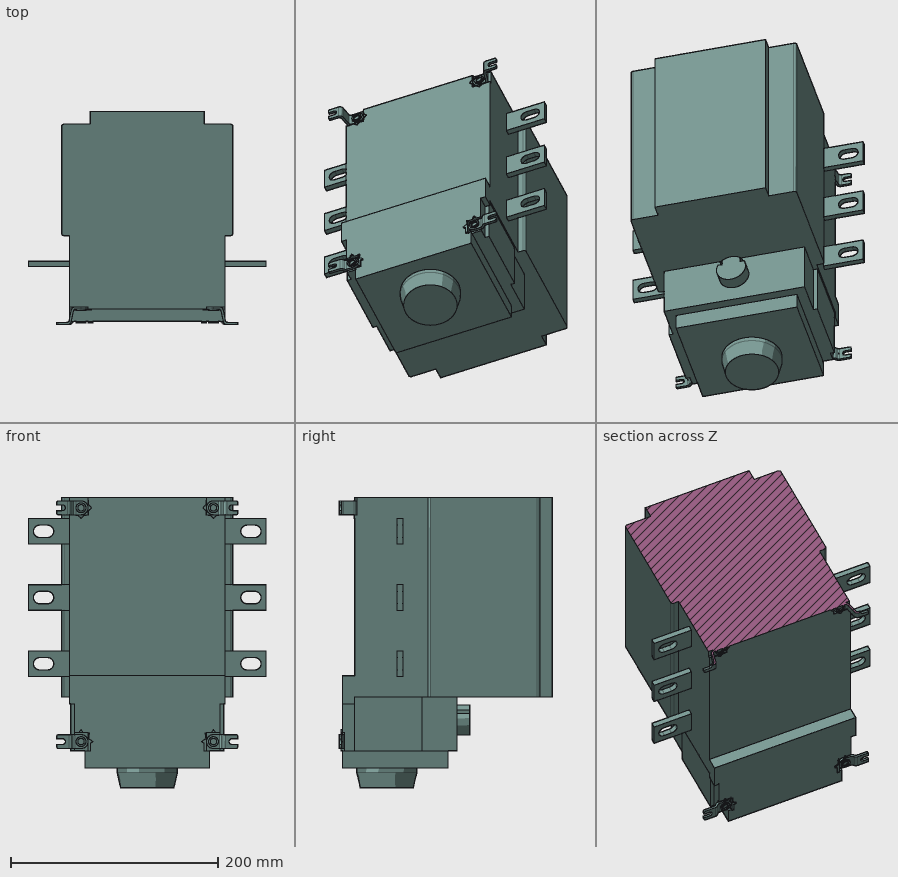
import cadquery as cq
import math

TOTAL_HEIGHT = 280.2
TOTAL_DEPTH = 205.7
HOUSING_BOTTOM = 87.5
NARROW_HALF_WIDTH = 75.0
WIDE_HALF_WIDTH = 82.7
RIDGE_HALF_WIDTH = 55.2
HOUSING_FRONT = 14.9
WIDE_FRONT = 85.7
WIDE_BACK = 193.5
WIDE_CORNER_RADIUS = 2.5

COVER_FRONT = 3.0
COVER_TOP = 108.2
COVER_STEP = 81.0
COVER_HALF_WIDTH = 70.0
BOX_BOTTOM = 35.5
BOX_HALF_WIDTH = 74.0
BOX_STEP = 79.9
BOX_BACK = 113.8
BOX_BACK_INSET = 4.0
BASE_BOTTOM = 19.0
BASE_HALF_WIDTH = 60.2
BASE_BACK = 105.0

KNOB_Y = 46.0
KNOB_RADIUS = 29.1
KNOB_TIP_RADIUS = 25.8
KNOB_RIM_BOTTOM = 14.5

SHAFT_Z = 65.3
SHAFT_RADIUS = 14.5
SHAFT_BACK = 126.0
GROOVE_Z = 73.5
GROOVE_WIDTH = 3.0
GROOVE_CORE_HALF_WIDTH = 9.0

TERMINAL_SPAN = 229.5
TERMINAL_FRONT = 56.0
TERMINAL_THICKNESS = 5.3
TERMINAL_HEIGHT = 25.0
TERMINAL_TOP_Z = 247.5
TERMINAL_PITCH = 64.0
TERMINAL_COUNT = 3
TERMINAL_SLOT_X = 100.0
TERMINAL_SLOT_LENGTH = 19.3
TERMINAL_SLOT_WIDTH = 11.8

BRACKET_TOP_Z = 270.0
BRACKET_LOW_Z = 44.5
BRACKET_HEIGHT = 13.5
BRACKET_TIP = 87.5
BRACKET_THICKNESS = 2.2
BEND_FRONT_X = 74.0
BEND_BACK_X = 71.0
BEND_OUTER_RADIUS = 3.6
BEND_INNER_RADIUS = 2.5
FORK_WIDTH = 5.3
FORK_END_X = 79.0
FORK_CORNER_RADIUS = 1.7
SCREW_X = 64.0
SCREW_RADIUS = 4.8
SCREW_RISE = 1.5
SOCKET_RADIUS = 3.0
TOP_SEAT_BOTTOM = BRACKET_TOP_Z - BRACKET_HEIGHT / 2
LOW_SEAT_TOP = 53.5
SEAT_INNER_X = SCREW_X - BRACKET_HEIGHT / 2

STAR_POINTS = 8
STAR_ROOT_RADIUS = 7.8
TOP_STAR_TIP_RADIUS = 10.0
TOP_STAR_RISE = 0.5
LOW_STAR_TIP_RADIUS = 11.5
LOW_STAR_RISE = 1.5
RIB_WIDTH = 2.2


def block(half_width, y_range, z_range):
    """Box centred on X."""
    return span_box((-half_width, half_width), y_range, z_range)


def span_box(x_range, y_range, z_range):
    """Box given by its limits along each axis."""
    low = (x_range[0], y_range[0], z_range[0])
    size = (x_range[1] - low[0], y_range[1] - low[1], z_range[1] - low[2])
    return cq.Workplane("XY").box(*size, centered=False).translate(low)


def facing(front_y, x=0, z=0):
    """Work plane at front_y whose positive direction is +Y, with local axes along -X and Z."""
    return cq.Workplane(cq.Plane(origin=(x, front_y, z), xDir=(-1, 0, 0), normal=(0, 1, 0)))


def both_sides(left):
    return left.union(left.mirror("YZ"))


def make_housing():
    z_range = (HOUSING_BOTTOM, TOTAL_HEIGHT)
    wide = block(WIDE_HALF_WIDTH, (WIDE_FRONT, WIDE_BACK), z_range)
    wide = wide.edges("|Z").fillet(WIDE_CORNER_RADIUS)
    narrow = block(NARROW_HALF_WIDTH, (HOUSING_FRONT, WIDE_BACK), z_range)
    ridge = block(RIDGE_HALF_WIDTH, (HOUSING_FRONT, TOTAL_DEPTH), z_range)
    return wide.union(narrow).union(ridge)


def make_mechanism_box():
    z_range = (BOX_BOTTOM, HOUSING_BOTTOM)
    front = block(BOX_HALF_WIDTH, (HOUSING_FRONT, BOX_STEP), z_range)
    back = block(BOX_HALF_WIDTH - BOX_BACK_INSET, (BOX_STEP, BOX_BACK), z_range)
    base = block(BASE_HALF_WIDTH, (COVER_FRONT, BASE_BACK), (BASE_BOTTOM, BOX_BOTTOM))
    cover_depth = (COVER_FRONT, HOUSING_FRONT)
    upper_cover = block(NARROW_HALF_WIDTH, cover_depth, (COVER_STEP, COVER_TOP))
    lower_cover = block(COVER_HALF_WIDTH, cover_depth, (BOX_BOTTOM, COVER_STEP))
    return front.union(back).union(base).union(upper_cover).union(lower_cover)


def make_knob():
    profile = [
        (0, BASE_BOTTOM),
        (KNOB_RADIUS, BASE_BOTTOM),
        (KNOB_RADIUS, KNOB_RIM_BOTTOM),
        (KNOB_TIP_RADIUS, 0),
        (0, 0),
    ]
    knob = cq.Workplane("XZ").polyline(profile).close().revolve(360, (0, 0), (0, 1))
    return knob.translate((0, KNOB_Y, 0))


def make_shaft():
    length = SHAFT_BACK - BOX_BACK
    shaft = facing(BOX_BACK, z=SHAFT_Z).circle(SHAFT_RADIUS).extrude(length)
    groove = span_box(
        (-SHAFT_RADIUS, -GROOVE_CORE_HALF_WIDTH),
        (BOX_BACK, SHAFT_BACK),
        (GROOVE_Z - GROOVE_WIDTH / 2, GROOVE_Z + GROOVE_WIDTH / 2),
    )
    return shaft.cut(both_sides(groove))


def make_terminal(z):
    """Slotted bar running straight through the housing."""
    bar = block(
        TERMINAL_SPAN / 2,
        (TERMINAL_FRONT, TERMINAL_FRONT + TERMINAL_THICKNESS),
        (z - TERMINAL_HEIGHT / 2, z + TERMINAL_HEIGHT / 2),
    )
    slots = (
        facing(TERMINAL_FRONT, z=z)
        .pushPoints([(-TERMINAL_SLOT_X, 0), (TERMINAL_SLOT_X, 0)])
        .slot2D(TERMINAL_SLOT_LENGTH, TERMINAL_SLOT_WIDTH)
        .extrude(TERMINAL_THICKNESS)
    )
    return bar.cut(slots)


def make_star(face_y, z, tip_radius, rise):
    """Left star pad standing on the face at face_y."""
    points = []
    for i in range(2 * STAR_POINTS):
        radius = STAR_ROOT_RADIUS if i % 2 else tip_radius
        angle = math.pi * i / STAR_POINTS
        points.append((radius * math.cos(angle), radius * math.sin(angle)))
    return facing(face_y - rise, -SCREW_X, z).polyline(points).close().extrude(rise)


def make_rib():
    """Left rib along the inner edge of the low seat."""
    return span_box(
        (-SEAT_INNER_X, -SEAT_INNER_X + RIB_WIDTH),
        (COVER_FRONT - LOW_STAR_RISE, COVER_FRONT),
        (BOX_BOTTOM, BRACKET_LOW_Z),
    )


def make_seat(face_y, bottom_z, top_z):
    """Left pocket that takes the thickness of the bracket plate."""
    return span_box(
        (-NARROW_HALF_WIDTH, -SEAT_INNER_X),
        (0, face_y + BRACKET_THICKNESS),
        (bottom_z, top_z),
    )


def make_bracket(plate_y, z):
    """Left bent strip with a forked outer end and a screw in its round inner end."""
    bend_angle = math.atan2(plate_y, BEND_FRONT_X - BEND_BACK_X)
    shift = BRACKET_THICKNESS * math.tan(bend_angle / 2)
    plate_back = plate_y + BRACKET_THICKNESS
    profile = [
        (-BRACKET_TIP, 0),
        (-BEND_FRONT_X, 0),
        (-BEND_BACK_X, plate_y),
        (-SCREW_X, plate_y),
        (-SCREW_X, plate_back),
        (-BEND_BACK_X - shift, plate_back),
        (-BEND_FRONT_X - shift, BRACKET_THICKNESS),
        (-BRACKET_TIP, BRACKET_THICKNESS),
    ]
    bottom_z = z - BRACKET_HEIGHT / 2
    strip = cq.Workplane("XY", origin=(0, 0, bottom_z)).polyline(profile).close().extrude(BRACKET_HEIGHT)
    bends = [
        (-BEND_FRONT_X, 0, BEND_OUTER_RADIUS),
        (-BEND_BACK_X, plate_y, BEND_INNER_RADIUS),
        (-BEND_BACK_X - shift, plate_back, BEND_OUTER_RADIUS),
        (-BEND_FRONT_X - shift, BRACKET_THICKNESS, BEND_INNER_RADIUS),
    ]
    for x, y, radius in bends:
        corner = cq.selectors.NearestToPointSelector((x, y, z))
        strip = strip.edges("|Z").edges(corner).fillet(radius)
    strip = strip.faces("<X").edges("|Y").fillet(FORK_CORNER_RADIUS)

    fork_length = 2 * (BRACKET_TIP - FORK_END_X)
    fork = facing(0, -BRACKET_TIP, z).slot2D(fork_length, FORK_WIDTH).extrude(BRACKET_THICKNESS)
    round_end = facing(plate_y, -SCREW_X, z).circle(BRACKET_HEIGHT / 2).extrude(BRACKET_THICKNESS)
    screw = (
        facing(plate_y - SCREW_RISE, -SCREW_X, z)
        .circle(SCREW_RADIUS)
        .circle(SOCKET_RADIUS)
        .extrude(SCREW_RISE)
    )
    return strip.cut(fork).union(round_end).union(screw)


result = make_housing().union(make_mechanism_box()).union(make_knob()).union(make_shaft())
for row in range(TERMINAL_COUNT):
    result = result.union(make_terminal(TERMINAL_TOP_Z - row * TERMINAL_PITCH))

top_star = make_star(HOUSING_FRONT, BRACKET_TOP_Z, TOP_STAR_TIP_RADIUS, TOP_STAR_RISE)
top_seat = make_seat(HOUSING_FRONT, TOP_SEAT_BOTTOM, TOTAL_HEIGHT)
result = result.union(both_sides(top_star)).cut(both_sides(top_seat))
result = result.union(both_sides(make_bracket(HOUSING_FRONT, BRACKET_TOP_Z)))

low_star = make_star(COVER_FRONT, BRACKET_LOW_Z, LOW_STAR_TIP_RADIUS, LOW_STAR_RISE)
low_star = low_star.cut(make_seat(COVER_FRONT, 0, LOW_SEAT_TOP))
low_seat = make_seat(COVER_FRONT, BOX_BOTTOM, LOW_SEAT_TOP)
result = result.union(both_sides(low_star.union(make_rib()))).cut(both_sides(low_seat))
result = result.union(both_sides(make_bracket(COVER_FRONT, BRACKET_LOW_Z)))